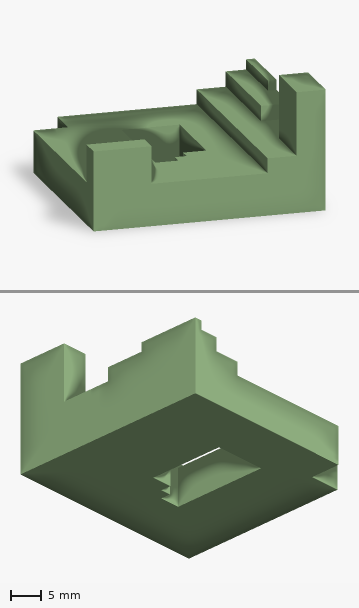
import cadquery as cq

side = 40.0
base_height = 7.3
notch_size = 6.0

ledge_depth = 10.0
ledge_top = 9.9
riser_width = side / 2
riser_depth = ledge_depth / 2
riser_top = 12.5
lip_width = 12.3
lip_depth = 1.5
lip_top = 14.3

back_post_width = 10.0
back_post_top = 20.85
front_post_width = 4.0
front_post_depth = 10.0
front_post_top = 13.8

window_left = 10.0
window_front = 14.0
window_back = 24.0
stair_rights = (29.0, 27.0, 25.0)
stair_backs = (18.0, 20.0, window_back)


def block(x, y, width, depth, height):
    """Box standing on the bottom plane with its front left corner at (x, y)."""
    return cq.Workplane("XY").box(width, depth, height, centered=False).translate((x, y, 0))


base = block(0, 0, side, side, base_height)
ledge = block(0, side - ledge_depth, side, ledge_depth, ledge_top)
riser = block(0, side - riser_depth, riser_width, riser_depth, riser_top)
lip = block(0, side - lip_depth, lip_width, lip_depth, lip_top)
back_post = block(side - back_post_width, side - riser_depth, back_post_width, riser_depth, back_post_top)
front_post = block(side - front_post_width, 0, front_post_width, front_post_depth, front_post_top)

body = base.union(ledge).union(riser).union(lip).union(back_post).union(front_post)

body = body.cut(block(0, 0, notch_size, notch_size, base_height))

for right, back in zip(stair_rights, stair_backs):
    body = body.cut(
        block(window_left, window_front, right - window_left, back - window_front, base_height)
    )

result = body